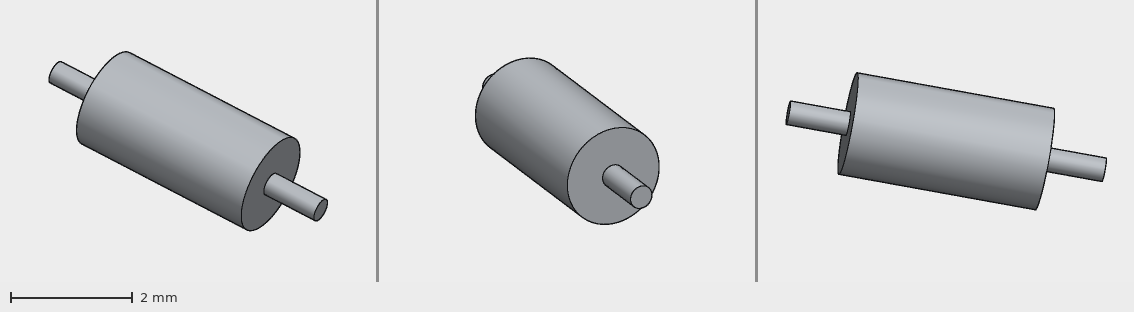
import cadquery as cq

overall_length = 5.3
lead_length = 1.0
lead_diameter = 0.4
body_diameter = 1.7

body_length = overall_length - 2 * lead_length


def make_cylinder(diameter, length, start_x):
    """Solid cylinder about the X axis, running from start_x toward +X."""
    return cq.Workplane("YZ", origin=(start_x, 0, 0)).circle(diameter / 2).extrude(length)


def make_body():
    """Plain cylindrical body centred on the origin."""
    return make_cylinder(body_diameter, body_length, -body_length / 2)


def make_lead(start_x):
    """Round lead that butts against an end face of the body."""
    return make_cylinder(lead_diameter, lead_length, start_x)


body = make_body()

lead_starts = (-overall_length / 2, body_length / 2)
leads = [make_lead(start_x) for start_x in lead_starts]

result = cq.Compound.makeCompound([body.val(), *[lead.val() for lead in leads]])